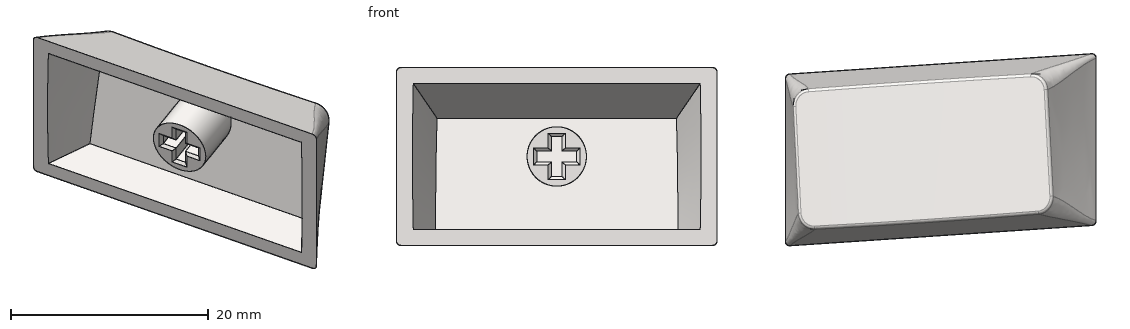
import cadquery as cq
import math

WIDTH = 32.45
HEIGHT = 18.0
RIM_RADIUS = 0.5
BOTTOM_Z = -HEIGHT / 2
RIM_TOP_Z = HEIGHT / 2

FACE_WIDTH = 26.4
FACE_TOP_Y = 8.75
FACE_TOP_Z = 4.8
FACE_BOTTOM_Y = 5.9
FACE_RADIUS = 1.7
FACE_EDGE_ROUND = 0.32
DISH_DEPTH = 0.4
WALL_SECTIONS = 5

WALL = 1.62
CAVITY_BOTTOM_Z = BOTTOM_Z + WALL
CAVITY_TOP_Z = RIM_TOP_Z - WALL
CAVITY_SIDE_BOW = 0.1
FLOOR_TOP_HALF_WIDTH = 12.1
FLOOR_BOTTOM_HALF_WIDTH = 12.23
FLOOR_TOP_Z = 3.85
FLOOR_TOP_Y = 7.33
FLOOR_BOTTOM_Y = 4.67

STEM_DIAMETER = 6.0
STEM_FRONT_Y = 1.0
CROSS_MOUTH_LENGTH = 4.67
CROSS_MOUTH_ARM = 1.72
BEVEL_INSET = 0.32
BEVEL_DEPTH = 0.25


def blend(start, end, fraction):
    return start + (end - start) * fraction


def sloped_plane(bottom_y, bottom_z, top_y, top_z):
    """Plane with local x along X and local y running from the bottom edge to the top edge."""
    normal = (0, bottom_z - top_z, top_y - bottom_y)
    return cq.Plane(origin=(0, bottom_y, bottom_z), xDir=(1, 0, 0), normal=normal)


def rounded_rectangle(plane, half_width, length, radius):
    """Wire standing on the local x axis of the plane, with four equal corner arcs."""
    inset = radius * (1 - math.sqrt(0.5))
    straight = half_width - radius
    return (
        cq.Workplane(plane)
        .moveTo(-straight, 0)
        .lineTo(straight, 0)
        .threePointArc((half_width - inset, inset), (half_width, radius))
        .lineTo(half_width, length - radius)
        .threePointArc((half_width - inset, length - inset), (straight, length))
        .lineTo(-straight, length)
        .threePointArc((inset - half_width, length - inset), (-half_width, length - radius))
        .lineTo(-half_width, radius)
        .threePointArc((inset - half_width, inset), (-straight, 0))
        .close()
        .val()
    )


def outer_section(fraction):
    """Rounded rectangle between the rim (0) and the touch face (1); its radius grows smoothly."""
    bottom_y = blend(0, FACE_BOTTOM_Y, fraction)
    top_y = blend(0, FACE_TOP_Y, fraction)
    top_z = blend(RIM_TOP_Z, FACE_TOP_Z, fraction)
    width = blend(WIDTH, FACE_WIDTH, fraction)
    radius = blend(RIM_RADIUS, FACE_RADIUS, fraction**2 * (3 - 2 * fraction))
    length = math.hypot(top_y - bottom_y, top_z - BOTTOM_Z)
    plane = sloped_plane(bottom_y, BOTTOM_Z, top_y, top_z)
    return rounded_rectangle(plane, width / 2, length, radius)


def outer_body():
    sections = [outer_section(i / (WALL_SECTIONS - 1)) for i in range(WALL_SECTIONS)]
    return cq.Workplane(cq.Solid.makeLoft(sections))


def dish_cutter():
    """Shallow cylinder along the slope of the touch face, meeting its side edges."""
    half = FACE_WIDTH / 2
    radius = (half**2 + DISH_DEPTH**2) / (2 * DISH_DEPTH)
    plane = sloped_plane(FACE_BOTTOM_Y, BOTTOM_Z, FACE_TOP_Y, FACE_TOP_Z)
    outward = plane.zDir * -1
    axis_plane = cq.Plane(
        origin=plane.origin + outward * (radius - DISH_DEPTH), xDir=(1, 0, 0), normal=plane.yDir
    )
    return cq.Workplane(axis_plane).circle(radius).extrude(HEIGHT, both=True)


def cavity_outline(plane, bottom_half, top_half, length, bow):
    """Four-sided wire whose left and right sides bow outward."""
    middle_half = (bottom_half + top_half) / 2 + bow
    return (
        cq.Workplane(plane)
        .moveTo(-bottom_half, 0)
        .lineTo(bottom_half, 0)
        .threePointArc((middle_half, length / 2), (top_half, length))
        .lineTo(-top_half, length)
        .threePointArc((-middle_half, length / 2), (-bottom_half, 0))
        .close()
        .val()
    )


def cavity():
    opening_half = WIDTH / 2 - WALL - CAVITY_SIDE_BOW
    opening_plane = sloped_plane(0, CAVITY_BOTTOM_Z, 0, CAVITY_TOP_Z)
    opening_length = CAVITY_TOP_Z - CAVITY_BOTTOM_Z
    opening = cavity_outline(opening_plane, opening_half, opening_half, opening_length, CAVITY_SIDE_BOW)
    floor_plane = sloped_plane(FLOOR_BOTTOM_Y, CAVITY_BOTTOM_Z, FLOOR_TOP_Y, FLOOR_TOP_Z)
    floor_length = math.hypot(FLOOR_TOP_Y - FLOOR_BOTTOM_Y, FLOOR_TOP_Z - CAVITY_BOTTOM_Z)
    floor = cavity_outline(
        floor_plane, FLOOR_BOTTOM_HALF_WIDTH, FLOOR_TOP_HALF_WIDTH, floor_length, CAVITY_SIDE_BOW / 2
    )
    return cq.Workplane(cq.Solid.makeLoft([opening, floor], True))


def stem_space():
    """Round column from the stem front to beyond the cavity floor."""
    front = cq.Workplane("XZ", origin=(0, STEM_FRONT_Y, 0))
    return front.circle(STEM_DIAMETER / 2).extrude(-FACE_TOP_Y)


def cross_outline(inset, y):
    """Closed cross parallel to XZ, drawn in by the inset from the socket mouth."""
    arm = CROSS_MOUTH_ARM / 2 - inset
    reach = CROSS_MOUTH_LENGTH / 2 - inset
    corners = [
        (reach, -arm), (reach, arm), (arm, arm), (arm, reach),
        (-arm, reach), (-arm, arm), (-reach, arm), (-reach, -arm),
        (-arm, -arm), (-arm, -reach), (arm, -reach), (arm, -arm),
    ]
    return cq.Workplane("XZ", origin=(0, y, 0)).polyline(corners).close()


def cross_socket():
    """Bevelled mouth followed by a straight cross to beyond the cavity floor."""
    bevel_end_y = STEM_FRONT_Y + BEVEL_DEPTH
    mouth = cross_outline(0, STEM_FRONT_Y).val()
    throat = cross_outline(BEVEL_INSET, bevel_end_y)
    bevel = cq.Workplane(cq.Solid.makeLoft([mouth, throat.val()], True))
    return bevel.union(throat.extrude(-FACE_TOP_Y))


hollow = cavity()
stem = stem_space().cut(cross_socket())
dished = outer_body().cut(dish_cutter())
touch_face_edges = dished.faces(">Y").edges()
body = touch_face_edges.fillet(FACE_EDGE_ROUND)
result = body.cut(hollow.cut(stem))